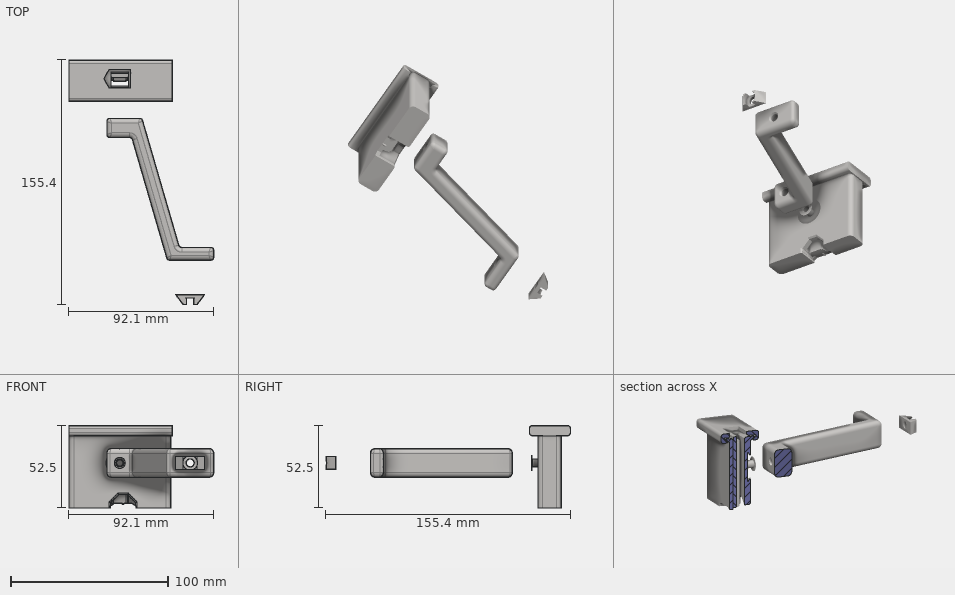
import cadquery as cq
import math

mount_x = 32.3
axis_z = 28.7
centre_y = 142.0

block_length = 64.8
block_width = 14.9
block_top = 49.0
block_corner_radius = 3.1
block_front = centre_y - block_width / 2
block_back = centre_y + block_width / 2
wing_half_width = 10.1
wing_bottom = 46.2
wing_edge = 0.3

recess_mouth_diameter = 17.4
recess_depth = 2.2

shaft_length = 10.9
shaft_front = 139.0
shaft_back = 146.8
funnel_chamfer = 1.1
notch_x = 34.5
notch_half_width = 8.9
notch_half_top = 3.3
notch_shoulder = 3.9
notch_top = 9.5
notch_chamfer = 1.0
tunnel_half_width = 8.1
tunnel_half_top = 5.6
tunnel_shoulder = 1.4
tunnel_top = 3.0
bead_diameter = 1.26

cap_length = 65.7
cap_front = 129.1
cap_back = 155.4
cap_bottom = 46.0
cap_top = 52.5
cap_radius = 2.0
channel_roof = 49.4
channel_half_roof = 11.0
channel_half_mouth = 8.2
groove_half_width = 5.3
groove_roof = 50.2
window_left = 25.5
window_right = 39.3
window_tip = 22.2
window_front = 137.8
window_back = 149.3

tube_diameter = 5.1
tube_bore = 4.0
tube_tip_y = 130.7
flange_diameter = 9.3
flange_thickness = 0.2

latch_top = 49.9
latch_bottom = 3.0
latch_tongue_front = 144.4
latch_base_length = 10.0
latch_base_front = 142.5
latch_base_top = 45.0
latch_boss_length = 7.8
latch_boss_front = 141.9
latch_boss_top = 46.6

arm_left = 24.1
arm_right = 92.1
near_foot_back = 118.4
near_foot_front = 106.1
far_foot_back = 36.4
far_foot_front = 28.1
arm_height = 18.3
arm_lean = math.radians(16.2)
arm_edge_radius = 3.1
arm_corner_radius = 2.0
arm_inner_radius = 2.0
far_hole_x = 77.0
back_edge_x = 46.5
front_edge_x = 40.0
arm_hole_diameter = 5.1
arm_hole_chamfer = 1.0

nut_half_back = 9.2
nut_half_front = 4.5
nut_depth = 6.2
nut_height = 8.2
nut_hole = 5.0
nut_counterbore = 9.3
nut_counterbore_depth = 4.0


def box(x0, x1, y0, y1, z0, z1):
    """Box between two opposite corners."""
    return cq.Workplane("XY").box(x1 - x0, y1 - y0, z1 - z0, centered=False).translate((x0, y0, z0))


def cylinder_y(x, z, diameter, y0, y1):
    """Cylinder along Y from y0 to y1."""
    return cq.Workplane("XZ", origin=(x, y0, z)).circle(diameter / 2).extrude(y0 - y1)


def cone_y(x, z, y0, diameter0, y1, diameter1):
    """Cone along Y with one diameter at y0 and another at y1."""
    low = cq.Workplane("XZ", origin=(x, y0, z)).circle(diameter0 / 2)
    return low.workplane(offset=y0 - y1).circle(diameter1 / 2).loft(ruled=True)


def extrude_x(points, x0, x1):
    """Outline in (y, z) extruded along X."""
    return cq.Workplane("YZ", origin=(x0, 0, 0)).polyline(points).close().extrude(x1 - x0)


def extrude_y(points, y0, y1):
    """Outline in (x, z) extruded along Y."""
    return cq.Workplane("XZ", origin=(0, y0, 0)).polyline(points).close().extrude(y0 - y1)


def notch_outline(half_width, half_top, shoulder, top):
    """Flat-topped gable standing on the block's bottom face."""
    return [
        (notch_x - half_width, 0),
        (notch_x - half_width, shoulder),
        (notch_x - half_top, top),
        (notch_x + half_top, top),
        (notch_x + half_width, shoulder),
        (notch_x + half_width, 0),
    ]


def make_block():
    body = box(0, block_length, block_front, block_back, 0, block_top)
    body = body.edges("|Z").fillet(block_corner_radius)

    wings = extrude_x(
        [
            (block_front, wing_bottom),
            (centre_y - wing_half_width, block_top - wing_edge),
            (centre_y - wing_half_width, block_top),
            (centre_y + wing_half_width, block_top),
            (centre_y + wing_half_width, block_top - wing_edge),
            (block_back, wing_bottom),
        ],
        block_corner_radius,
        block_length,
    )
    body = body.union(wings)

    floor_diameter = recess_mouth_diameter + 2 * recess_depth
    floor_y = block_front + recess_depth
    body = body.cut(cone_y(mount_x, axis_z, block_front, recess_mouth_diameter, floor_y, floor_diameter))

    shaft_left = mount_x - shaft_length / 2
    shaft_right = mount_x + shaft_length / 2
    body = body.cut(box(shaft_left, shaft_right, shaft_front, shaft_back, 0, block_top))
    funnel = extrude_x(
        [
            (shaft_front, block_top - funnel_chamfer),
            (shaft_front - funnel_chamfer, block_top),
            (shaft_back + funnel_chamfer, block_top),
            (shaft_back, block_top - funnel_chamfer),
        ],
        shaft_left,
        shaft_right,
    )
    body = body.cut(funnel)

    outer = notch_outline(notch_half_width, notch_half_top, notch_shoulder, notch_top)
    inner = notch_outline(
        notch_half_width - notch_chamfer,
        notch_half_top - notch_chamfer / 2,
        notch_shoulder - notch_chamfer / 2,
        notch_top - notch_chamfer,
    )
    notch = extrude_y(inner, block_front, shaft_back)
    mouth = cq.Workplane("XZ", origin=(0, block_front, 0)).polyline(outer).close()
    mouth = mouth.workplane(offset=-notch_chamfer).polyline(inner).close().loft(ruled=True)
    body = body.cut(notch).cut(mouth)

    tunnel = extrude_y(
        notch_outline(tunnel_half_width, tunnel_half_top, tunnel_shoulder, tunnel_top), block_front, block_back
    )
    bead = cylinder_y(notch_x, tunnel_top, bead_diameter, shaft_back, block_back)
    return body.cut(tunnel).union(bead)


def make_cap():
    body = box(0, cap_length, cap_front, cap_back, cap_bottom, cap_top)
    body = body.edges("|X").fillet(cap_radius)
    channel = extrude_x(
        [
            (centre_y - channel_half_mouth, cap_bottom),
            (centre_y - channel_half_roof, channel_roof),
            (centre_y + channel_half_roof, channel_roof),
            (centre_y + channel_half_mouth, cap_bottom),
        ],
        0,
        block_length,
    )
    groove = box(
        0, block_length, centre_y - groove_half_width, centre_y + groove_half_width, channel_roof, groove_roof
    )
    window_middle = (window_front + window_back) / 2
    window = (
        cq.Workplane("XY", origin=(0, 0, cap_bottom))
        .moveTo(window_tip, window_middle)
        .lineTo(window_left, window_back)
        .lineTo(window_right, window_back)
        .lineTo(window_right, window_front)
        .lineTo(window_left, window_front)
        .close()
        .extrude(cap_top - cap_bottom)
    )
    return body.cut(channel).cut(groove).cut(window)


def make_tube():
    root_y = block_front + recess_depth
    body = cylinder_y(mount_x, axis_z, tube_diameter, tube_tip_y, root_y)
    body = body.union(cylinder_y(mount_x, axis_z, flange_diameter, tube_tip_y, tube_tip_y + flange_thickness))
    body = body.cut(cylinder_y(mount_x, axis_z, tube_bore, tube_tip_y, root_y))
    flare_depth = (tube_diameter - tube_bore) / 2
    return body.cut(cone_y(mount_x, axis_z, tube_tip_y, tube_diameter, tube_tip_y + flare_depth, tube_bore))


def make_latch():
    """Tall tongue against the back of the shaft, with two lower steps in front of it."""
    steps = [
        (shaft_length, latch_tongue_front, latch_top),
        (latch_base_length, latch_base_front, latch_base_top),
        (latch_boss_length, latch_boss_front, latch_boss_top),
    ]
    body = cq.Workplane("XY")
    for length, front, top in steps:
        body = body.union(
            box(mount_x - length / 2, mount_x + length / 2, front, shaft_back, latch_bottom, top)
        )
    return body


def make_arm():
    slope = math.tan(arm_lean)
    elbow_back_x = back_edge_x + slope * (near_foot_back - far_foot_back)
    elbow_front_x = front_edge_x + slope * (near_foot_front - far_foot_front)
    body = (
        cq.Workplane("XY", origin=(0, 0, axis_z - arm_height / 2))
        .moveTo(arm_left, near_foot_front)
        .lineTo(front_edge_x, near_foot_front)
        .lineTo(elbow_front_x, far_foot_front)
        .lineTo(arm_right, far_foot_front)
        .lineTo(arm_right, far_foot_back)
        .lineTo(elbow_back_x, far_foot_back)
        .lineTo(back_edge_x, near_foot_back)
        .lineTo(arm_left, near_foot_back)
        .close()
        .extrude(arm_height)
    )
    inner_corners = [(front_edge_x, near_foot_front), (elbow_back_x, far_foot_back)]
    for x, y in inner_corners:
        body = body.edges(cq.selectors.NearestToPointSelector((x, y, axis_z))).fillet(arm_inner_radius)
    body = body.faces("|Z").edges().fillet(arm_edge_radius)
    outer_corners = [
        (arm_left, near_foot_front),
        (arm_left, near_foot_back),
        (back_edge_x, near_foot_back),
        (elbow_front_x, far_foot_front),
        (arm_right, far_foot_front),
        (arm_right, far_foot_back),
    ]
    for x, y in outer_corners:
        body = body.edges(cq.selectors.NearestToPointSelector((x, y, axis_z))).fillet(arm_corner_radius)

    for x, front, back in [
        (mount_x, near_foot_front, near_foot_back),
        (far_hole_x, far_foot_front, far_foot_back),
    ]:
        mouth = arm_hole_diameter + 2 * arm_hole_chamfer
        body = body.cut(cylinder_y(x, axis_z, arm_hole_diameter, front, back))
        body = body.cut(cone_y(x, axis_z, front, mouth, front + arm_hole_chamfer, arm_hole_diameter))
    return body


def make_wedge_nut():
    body = (
        cq.Workplane("XY", origin=(far_hole_x, 0, axis_z - nut_height / 2))
        .moveTo(-nut_half_front, 0)
        .lineTo(nut_half_front, 0)
        .lineTo(nut_half_back, nut_depth)
        .lineTo(-nut_half_back, nut_depth)
        .close()
        .extrude(nut_height)
    )
    body = body.cut(cylinder_y(far_hole_x, axis_z, nut_hole, 0, nut_depth))
    return body.cut(cylinder_y(far_hole_x, axis_z, nut_counterbore, 0, nut_counterbore_depth))


block = make_block()
cap = make_cap()
tube = make_tube()
latch = make_latch()
arm = make_arm()
wedge_nut = make_wedge_nut()

result = cq.Compound.makeCompound(
    [block.val(), cap.val(), tube.val(), latch.val(), arm.val(), wedge_nut.val()]
)